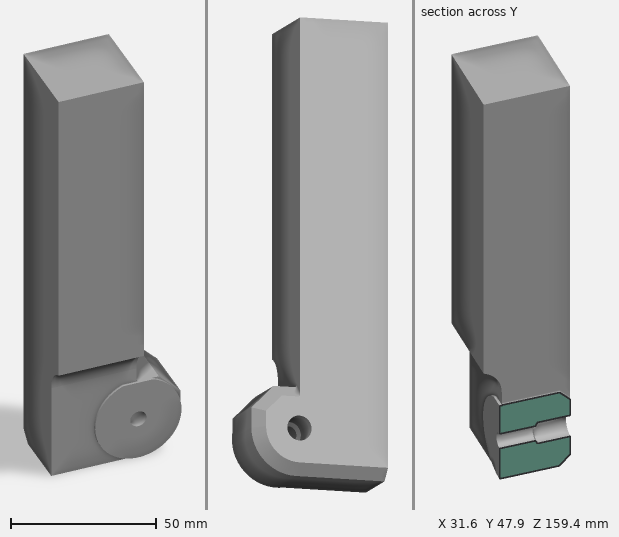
import cadquery as cq
import math

shank_width = 31.62
overall_depth = 47.9
overall_height = 159.45
edge_chamfer = 4.0

relief_flat_x = 25.0
relief_arc_center_z = 36.4
relief_arc_radius = 10.0

lug_radius = 16.0
lug_height = 31.0
corner_cut_start_z = 23.0
root_fillet = 0.8

pad_thickness = 0.95

hole_diameter = 6.0
counterbore_diameter = 8.7
counterbore_depth = 12.0
shoulder_angle = 118.0

axis_y = overall_depth - shank_width - lug_radius
axis_z = lug_radius


def make_shank():
    """Square bar with a chamfered lower edge and the relief on its +X side."""
    arc_center_x = relief_flat_x + relief_arc_radius
    runout_reach = arc_center_x - shank_width
    runout_z = relief_arc_center_z + math.sqrt(relief_arc_radius**2 - runout_reach**2)
    middle_angle = (math.pi + math.atan2(runout_z - relief_arc_center_z, -runout_reach)) / 2
    arc_middle = (
        arc_center_x + relief_arc_radius * math.cos(middle_angle),
        relief_arc_center_z + relief_arc_radius * math.sin(middle_angle),
    )
    return (
        cq.Workplane("XZ")
        .moveTo(edge_chamfer, 0)
        .lineTo(relief_flat_x, 0)
        .lineTo(relief_flat_x, relief_arc_center_z)
        .threePointArc(arc_middle, (shank_width, runout_z))
        .lineTo(shank_width, overall_height)
        .lineTo(0, overall_height)
        .lineTo(0, edge_chamfer)
        .close()
        .extrude(shank_width)
    )


def make_lug():
    """Plate with a rounded lower corner, a 45 degree upper corner and a chamfered -X rim."""
    tip_y = axis_y + lug_radius
    corner_cut = lug_height - corner_cut_start_z
    inner_y = -shank_width / 2
    arc_reach = lug_radius * math.sqrt(0.5)
    lug = (
        cq.Workplane("YZ")
        .moveTo(inner_y, 0)
        .lineTo(axis_y, 0)
        .threePointArc((axis_y + arc_reach, axis_z - arc_reach), (tip_y, axis_z))
        .lineTo(tip_y, corner_cut_start_z)
        .lineTo(tip_y - corner_cut, lug_height)
        .lineTo(inner_y, lug_height)
        .close()
        .extrude(relief_flat_x)
    )
    return lug.faces("<X").edges("not <Y").chamfer(edge_chamfer)


def fillet_lug_root(body):
    """Round the inner corner where the lug top and its chamfer meet the shank."""
    margin = 0.1
    root = cq.selectors.BoxSelector(
        (-margin, -margin, lug_height - edge_chamfer - margin),
        (relief_flat_x + margin, margin, lug_height + margin),
        boundingbox=True,
    )
    return body.edges(root).fillet(root_fillet)


def make_pad():
    """Round pad on the relief flat, cut off level with the lug top."""
    flat_rise = lug_height - axis_z
    half_flat = math.sqrt(lug_radius**2 - flat_rise**2)
    return (
        cq.Workplane("YZ", origin=(relief_flat_x, axis_y, axis_z))
        .moveTo(-half_flat, flat_rise)
        .threePointArc((0, -lug_radius), (half_flat, flat_rise))
        .close()
        .extrude(pad_thickness)
    )


def make_hole():
    """Cutter: counterbore from the -X side, conical shoulder, then the through hole."""
    hole_radius = hole_diameter / 2
    counterbore_radius = counterbore_diameter / 2
    shoulder_depth = (counterbore_radius - hole_radius) / math.tan(math.radians(shoulder_angle / 2))
    through_depth = relief_flat_x + pad_thickness
    return (
        cq.Workplane("XY", origin=(0, axis_y, axis_z))
        .lineTo(0, counterbore_radius)
        .lineTo(counterbore_depth, counterbore_radius)
        .lineTo(counterbore_depth + shoulder_depth, hole_radius)
        .lineTo(through_depth, hole_radius)
        .lineTo(through_depth, 0)
        .close()
        .revolve(360, (0, 0, 0), (1, 0, 0))
    )


body = fillet_lug_root(make_shank().union(make_lug()).clean())
result = body.union(make_pad()).cut(make_hole())